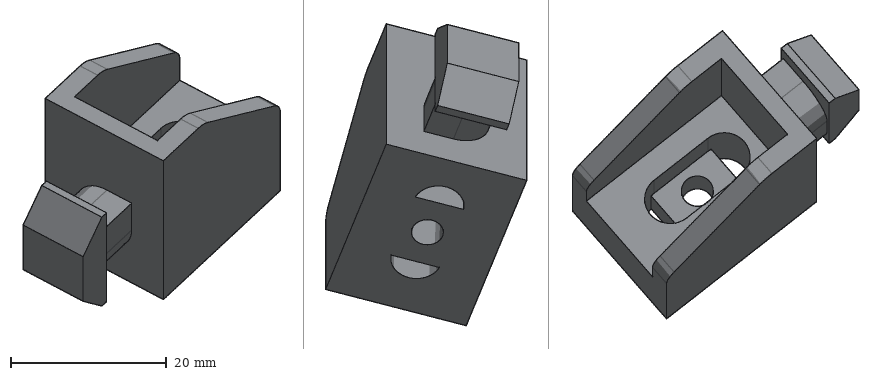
import cadquery as cq
import math

total_length = 35.9
body_width = 19.0
body_depth = 25.0
body_height = 25.0

side_wall = 2.85
front_wall = 2.5
floor_thickness = 10.3
level_top = 8.55
slope_angle = 30.0
upper_radius = 4.1
lower_radius = 2.5

slot_width = 6.6
slot_length = 15.58
slot_center_y = 12.03
bridge_length = 9.98
bridge_thickness = floor_thickness / 2
screw_diameter = 4.1

lock_center_z = 9.5
head_width = 9.65
head_height = 16.0
head_rim = 1.0
head_chamfer = 4.0
head_depth = head_rim + head_chamfer
neck_width = 8.83
neck_height = 9.7
neck_radius = neck_height / 2
neck_length = total_length - body_depth - head_depth


def make_body():
    slope_drop = (body_depth - level_top) * math.tan(math.radians(slope_angle))
    back_height = body_height - slope_drop
    block = (
        cq.Workplane("YZ")
        .polyline([
            (0, 0),
            (body_depth, 0),
            (body_depth, back_height),
            (level_top, body_height),
            (0, body_height),
        ])
        .close()
        .extrude(body_width / 2, both=True)
    )

    def edge_at(y, z):
        return cq.selectors.NearestToPointSelector((0, y, z))

    block = block.edges("|X").edges(edge_at(level_top, body_height)).fillet(upper_radius)
    block = block.edges("|X").edges(edge_at(body_depth, back_height)).fillet(lower_radius)
    cavity = (
        cq.Workplane("XY")
        .box(body_width - 2 * side_wall, body_depth, body_height, centered=(True, False, False))
        .translate((0, front_wall, floor_thickness))
    )
    return block.cut(cavity)


def cut_floor_slot(body):
    center = cq.Workplane("XY").center(0, slot_center_y)
    slot = center.slot2D(slot_length, slot_width, 90).extrude(floor_thickness)
    bridge = center.rect(slot_width, bridge_length).extrude(bridge_thickness)
    screw_hole = center.circle(screw_diameter / 2).extrude(floor_thickness)
    return body.cut(slot.cut(bridge)).cut(screw_hole)


def make_neck():
    half_width = neck_width / 2
    half_height = neck_height / 2
    mid_offset = neck_radius * (1 - math.sqrt(0.5))
    return (
        cq.Workplane("XZ", origin=(0, 0, lock_center_z))
        .moveTo(-half_width, -half_height)
        .lineTo(half_width - neck_radius, -half_height)
        .threePointArc((half_width - mid_offset, mid_offset - half_height), (half_width, 0))
        .lineTo(half_width, half_height)
        .lineTo(neck_radius - half_width, half_height)
        .threePointArc((mid_offset - half_width, half_height - mid_offset), (-half_width, 0))
        .close()
        .extrude(neck_length)
    )


def make_head():
    rim_y = -neck_length - head_rim
    tip_y = body_depth - total_length
    half_height = head_height / 2
    tip_half_height = half_height - head_chamfer
    return (
        cq.Workplane("YZ", origin=(0, 0, lock_center_z))
        .polyline([
            (-neck_length, -half_height),
            (-neck_length, half_height),
            (rim_y, half_height),
            (tip_y, tip_half_height),
            (tip_y, -tip_half_height),
            (rim_y, -half_height),
        ])
        .close()
        .extrude(head_width / 2, both=True)
    )


result = cut_floor_slot(make_body()).union(make_neck()).union(make_head())